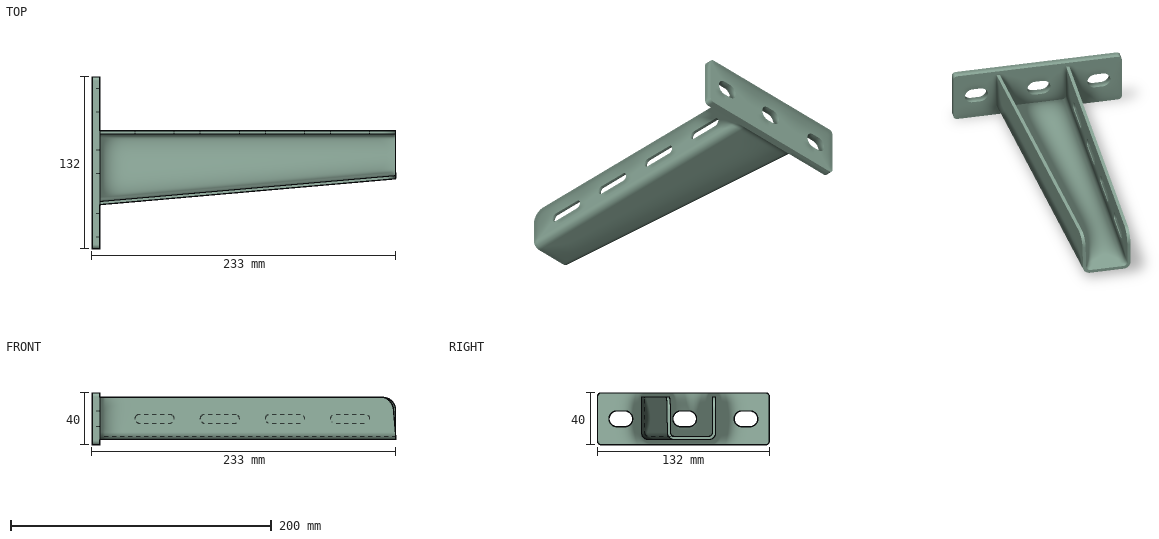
import cadquery as cq
import math

plate_thickness = 6.0
plate_width = 132.0
plate_height = 40.0
plate_corner_radius = 3.0
plate_slot_length = 18.0
plate_slot_width = 12.0
plate_slot_centres_y = (-48.0, 1.0, 48.0)

sheet_thickness = 2.5
bend_inner_radius = 3.0
bend_outer_radius = bend_inner_radius + sheet_thickness
bend_neutral_radius = bend_inner_radius + sheet_thickness / 2
arm_length = 227.0
arm_height = 32.6
arm_bottom_z = -16.0
arm_root_depth = 57.0
arm_back_y = 24.8
taper_angle = 5.0
flange_corner_radius = 10.0

flange_slot_count = 4
flange_slot_pitch = 50.0
flange_slot_length = 30.0
flange_slot_width = 7.0
last_slot_to_tip = 35.0
flange_slot_z = 0.0

arm_root_x = plate_thickness
arm_tip_x = arm_root_x + arm_length
arm_top_z = arm_bottom_z + arm_height
bend_axis_z = arm_bottom_z + bend_outer_radius
flange_height = arm_top_z - bend_axis_z
back_bend_y = arm_back_y - bend_outer_radius
taper_tan = math.tan(math.radians(taper_angle))
taper_cos = math.cos(math.radians(taper_angle))
front_root_y = arm_back_y - arm_root_depth
front_bend_root_y = front_root_y + bend_outer_radius / taper_cos
front_bend_tip_y = front_bend_root_y + arm_length * taper_tan

root_overrun = 5.0
fold_length = arm_length / taper_cos + root_overrun


def make_plate():
    plate = (
        cq.Workplane("YZ")
        .rect(plate_width, plate_height)
        .extrude(plate_thickness)
        .edges("|X")
        .fillet(plate_corner_radius)
    )
    slots = (
        cq.Workplane("YZ")
        .pushPoints([(y, 0) for y in plate_slot_centres_y])
        .slot2D(plate_slot_length, plate_slot_width)
        .extrude(plate_thickness)
    )
    return plate.cut(slots)


def bend_section(plane):
    """Quarter ring around the plane's origin, from straight down to the plane's +x side."""
    diagonal = math.sqrt(0.5)
    return (
        cq.Workplane(plane)
        .moveTo(0, -bend_outer_radius)
        .threePointArc(
            (bend_outer_radius * diagonal, -bend_outer_radius * diagonal),
            (bend_outer_radius, 0),
        )
        .lineTo(bend_inner_radius, 0)
        .threePointArc(
            (bend_inner_radius * diagonal, -bend_inner_radius * diagonal),
            (0, -bend_inner_radius),
        )
        .close()
    )


def make_web():
    return (
        cq.Workplane("XY", origin=(0, 0, arm_bottom_z))
        .moveTo(arm_root_x, back_bend_y)
        .lineTo(arm_tip_x, back_bend_y)
        .lineTo(arm_tip_x, front_bend_tip_y)
        .lineTo(arm_root_x, front_bend_root_y)
        .close()
        .extrude(sheet_thickness)
    )


def make_straight_flange():
    bend_plane = cq.Plane(
        origin=(arm_root_x, back_bend_y, bend_axis_z), xDir=(0, 1, 0), normal=(1, 0, 0)
    )
    bend = bend_section(bend_plane).extrude(arm_length)
    wall = (
        cq.Workplane("XY", origin=(arm_root_x, arm_back_y - sheet_thickness, bend_axis_z))
        .box(arm_length, sheet_thickness, flange_height, centered=False)
        .edges(">X and >Z")
        .fillet(flange_corner_radius)
    )
    last_slot_x = arm_tip_x - last_slot_to_tip
    slot_centres = [
        (last_slot_x - i * flange_slot_pitch, flange_slot_z) for i in range(flange_slot_count)
    ]
    slots = (
        cq.Workplane("XZ", origin=(0, arm_back_y, 0))
        .pushPoints(slot_centres)
        .slot2D(flange_slot_length, flange_slot_width)
        .extrude(sheet_thickness)
    )
    return bend.union(wall.cut(slots))


def make_tapered_flange():
    """Fold along the tapered edge; the blank's square end leans back as it is folded up.

    Built with the fold axis along +X ending at X = 0 and the flange on the -Y side,
    then turned by the taper angle and moved to the tip of the web.
    """
    lean_over_bend = bend_neutral_radius * math.pi / 2 * taper_tan

    bend_plane = cq.Plane(origin=(0, 0, 0), xDir=(0, -1, 0), normal=(-1, 0, 0))
    bend = bend_section(bend_plane).extrude(fold_length)

    sector_radius = 2 * bend_outer_radius
    end_cutter = (
        cq.Workplane(bend_plane)
        .moveTo(0, 0)
        .lineTo(0, -sector_radius)
        .lineTo(sector_radius, -sector_radius)
        .lineTo(sector_radius, 0)
        .close()
        .twistExtrude(lean_over_bend, 90)
    )
    bend = bend.cut(end_cutter)

    wall = (
        cq.Workplane("XZ", origin=(0, -bend_inner_radius, 0))
        .moveTo(-fold_length, 0)
        .lineTo(-lean_over_bend, 0)
        .lineTo(-lean_over_bend - flange_height * taper_tan, flange_height)
        .lineTo(-fold_length, flange_height)
        .close()
        .extrude(sheet_thickness)
        .edges(">Z")
        .edges(">X")
        .fillet(flange_corner_radius)
    )
    flange = (
        bend.union(wall)
        .rotate((0, 0, 0), (0, 0, 1), taper_angle)
        .translate((arm_tip_x, front_bend_tip_y, bend_axis_z))
    )
    trim_depth = 2 * root_overrun
    trim_centre = (arm_root_x - trim_depth / 2, front_root_y, 0)
    root_trim = cq.Workplane("XY", origin=trim_centre).box(
        trim_depth, 2 * arm_root_depth, 4 * arm_height
    )
    return flange.cut(root_trim)


def make_arm():
    return make_web().union(make_straight_flange()).union(make_tapered_flange())


plate = make_plate()
arm = make_arm()
result = cq.Compound.makeCompound([plate.val(), *arm.solids().vals()])